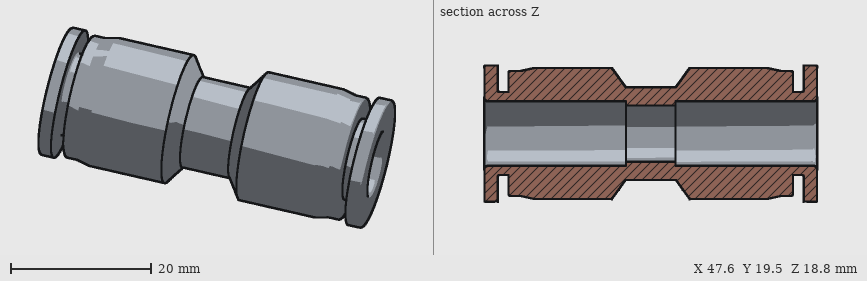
import cadquery as cq

length = 47.6

flange_width_y = 19.5
flange_height_z = 17.15
flange_thickness = 1.95

sleeve_diameter = 11.9
collar_diameter = 17.9
body_diameter = 18.8
waist_diameter = 13.3

collar_start = 3.47
taper_start = 5.2
body_start = 7.2
body_end = 18.25
waist_start = 20.25

socket_diameter = 9.2
passage_diameter = 8.0
socket_depth = waist_start

edge_radius = 0.3
mouth_radius = 0.55

half_length = length / 2


def make_half_body():
    """Turn the round outside of the -X half, from the flange back to the middle."""
    sleeve_start = flange_thickness - half_length
    collar_face = collar_start - half_length
    sleeve_radius = sleeve_diameter / 2
    collar_radius = collar_diameter / 2
    body_radius = body_diameter / 2
    waist_radius = waist_diameter / 2
    corner_inset = edge_radius * (1 - 0.5**0.5)

    profile = (
        cq.Workplane("XY")
        .moveTo(sleeve_start, 0)
        .lineTo(sleeve_start, sleeve_radius + edge_radius)
        .threePointArc(
            (sleeve_start + corner_inset, sleeve_radius + corner_inset),
            (sleeve_start + edge_radius, sleeve_radius),
        )
        .lineTo(collar_face, sleeve_radius)
        .lineTo(collar_face, collar_radius - edge_radius)
        .threePointArc(
            (collar_face + corner_inset, collar_radius - corner_inset),
            (collar_face + edge_radius, collar_radius),
        )
        .lineTo(taper_start - half_length, collar_radius)
        .lineTo(body_start - half_length, body_radius)
        .lineTo(body_end - half_length, body_radius)
        .lineTo(waist_start - half_length, waist_radius)
        .lineTo(0, waist_radius)
        .lineTo(0, 0)
        .close()
    )
    return profile.revolve(360, (0, 0, 0), (1, 0, 0))


def make_flange():
    """Oval flange at the -X end, with its outer rim rounded."""
    return (
        cq.Workplane("YZ", origin=(-half_length, 0, 0))
        .ellipse(flange_width_y / 2, flange_height_z / 2)
        .extrude(flange_thickness)
        .faces("<X")
        .edges()
        .fillet(edge_radius)
    )


def make_half():
    """The -X half with its socket and rounded mouth."""
    socket = (
        cq.Workplane("YZ", origin=(-half_length, 0, 0))
        .circle(socket_diameter / 2)
        .extrude(socket_depth)
    )
    drilled = make_half_body().union(make_flange()).cut(socket)
    mouth_edge = cq.selectors.RadiusNthSelector(0)
    return drilled.faces("<X").edges("%CIRCLE").edges(mouth_edge).fillet(mouth_radius)


left_half = make_half()
passage = (
    cq.Workplane("YZ", origin=(-half_length, 0, 0))
    .circle(passage_diameter / 2)
    .extrude(length)
)
result = left_half.union(left_half.mirror("YZ")).cut(passage).clean()